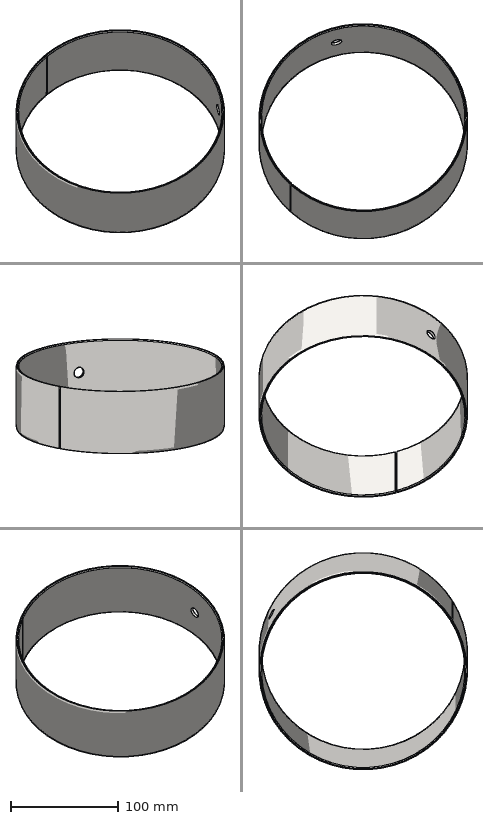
import cadquery as cq

outer_diameter = 195.0
height = 60.0
wall = 2.5
bevel_height = 2.3
bevel_depth = 0.5
inner_chamfer = 1.0
slit_width = 1.5
hole_diameter = 10.0
hole_angle = 59.0

outer_radius = outer_diameter / 2
inner_radius = outer_radius - wall
rim_radius = outer_radius - bevel_depth
half_height = height / 2
bevel_start = half_height - bevel_height
chamfer_radius = inner_radius + inner_chamfer
chamfer_start = half_height - inner_chamfer


def ring():
    """Revolve the wall section, bevelled outside and chamfered inside at both rims."""
    section = [
        (inner_radius, -chamfer_start),
        (chamfer_radius, -half_height),
        (rim_radius, -half_height),
        (outer_radius, -bevel_start),
        (outer_radius, bevel_start),
        (rim_radius, half_height),
        (chamfer_radius, half_height),
        (inner_radius, chamfer_start),
    ]
    return cq.Workplane("XZ").polyline(section).close().revolve(360, (0, 0), (0, 1))


def slit():
    """Cutter that opens the ring through its -X wall."""
    blade = cq.Workplane("XY").box(outer_diameter, slit_width, height)
    return blade.translate((-outer_radius, slit_width / 2, 0))


def radial_hole():
    """Cutter for one round hole at mid-height, pointing out from the ring axis."""
    hole = cq.Workplane("YZ").circle(hole_diameter / 2).extrude(outer_diameter)
    return hole.rotate((0, 0, 0), (0, 0, 1), hole_angle)


result = ring().cut(slit()).cut(radial_hole())